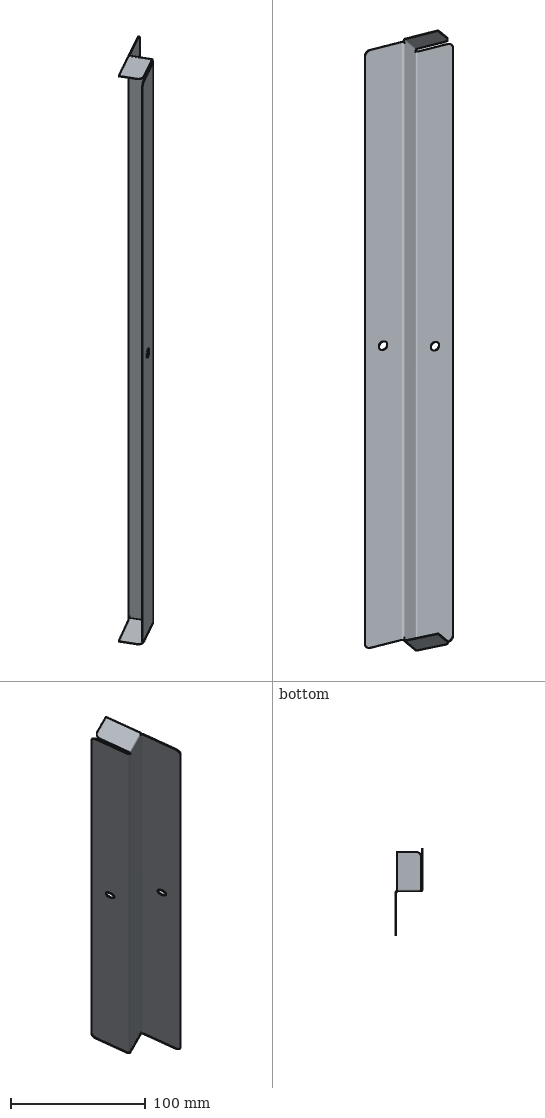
import cadquery as cq
import math

width = 20.0
depth = 64.0
total_height = 504.0
sheet = 0.7
inner_bend = 1.0
outer_bend = inner_bend + sheet

end_setback = 2.5
web_front = -1.0
web_back = web_front + sheet
flange_top = total_height / 2 - end_setback
flange_bottom = -flange_top
flange_height = flange_top - flange_bottom
flange_corner = 4.5

tab_width = 18.0
tab_front = -29.5
tab_corner = 4.0
tab_root_overlap = 1.5
bottom_tab_tilt = math.radians(2.5)

hole_diameter = 7.0
hole_offset = 16.5


def make_profile():
    """Z section with rounded bends, extruded over the flange height."""
    x = width / 2
    y = depth / 2
    inner_shift = inner_bend * math.sqrt(0.5)
    outer_shift = outer_bend * math.sqrt(0.5)
    bend_x = x - outer_bend
    left_bend_y = web_front + outer_bend
    right_bend_y = web_back - outer_bend
    section = (
        cq.Workplane("XY", origin=(0, 0, flange_bottom))
        .moveTo(-x, y)
        .lineTo(-x, left_bend_y)
        .threePointArc((-bend_x - outer_shift, left_bend_y - outer_shift), (-bend_x, web_front))
        .lineTo(bend_x, web_front)
        .threePointArc((bend_x + inner_shift, right_bend_y + inner_shift), (x - sheet, right_bend_y))
        .lineTo(x - sheet, -y)
        .lineTo(x, -y)
        .lineTo(x, right_bend_y)
        .threePointArc((bend_x + outer_shift, right_bend_y + outer_shift), (bend_x, web_back))
        .lineTo(-bend_x, web_back)
        .threePointArc((-bend_x - inner_shift, left_bend_y - inner_shift), (sheet - x, left_bend_y))
        .lineTo(sheet - x, y)
        .close()
    )
    return section.extrude(flange_height)


def round_flange_corners(body):
    """Round the four free corners of the two flanges."""
    return body.edges("|X and (<Y or >Y)").edges("<Z or >Z").fillet(flange_corner)


def make_tab(end_z, outward, tilt):
    """Tab bent forward from the web end; tilt (radians) splays its free edge outward."""
    bend_y = web_front - inner_bend
    length = (bend_y + outer_bend * math.sin(tilt) - tab_front) / math.cos(tilt)
    bend_height = outer_bend * math.cos(tilt) + length * math.sin(tilt)
    bend_z = end_z - outward * bend_height
    bend_sweep = math.pi / 2 - tilt

    def on_bend(radius, angle):
        return (bend_y + radius * math.cos(angle), bend_z + outward * radius * math.sin(angle))

    def tab_tip(radius):
        y, z = on_bend(radius, bend_sweep)
        return (y - length * math.cos(tilt), z + outward * length * math.sin(tilt))

    root_z = bend_z - outward * tab_root_overlap
    tab = (
        cq.Workplane("YZ", origin=(-tab_width / 2, 0, 0))
        .moveTo(web_back, root_z)
        .lineTo(*on_bend(outer_bend, 0))
        .threePointArc(on_bend(outer_bend, bend_sweep / 2), on_bend(outer_bend, bend_sweep))
        .lineTo(*tab_tip(outer_bend))
        .lineTo(*tab_tip(inner_bend))
        .lineTo(*on_bend(inner_bend, bend_sweep))
        .threePointArc(on_bend(inner_bend, bend_sweep / 2), on_bend(inner_bend, 0))
        .lineTo(web_front, root_z)
        .close()
        .extrude(tab_width)
    )
    return tab.faces("<Y").edges(">X").fillet(tab_corner)


def drill_flanges(body):
    """One hole through the middle of each flange."""
    drills = (
        cq.Workplane("YZ", origin=(-width, 0, 0))
        .pushPoints([(-hole_offset, 0), (hole_offset, 0)])
        .circle(hole_diameter / 2)
        .extrude(2 * width)
    )
    return body.cut(drills)


top_tab = make_tab(total_height / 2, 1, 0)
bottom_tab = make_tab(-total_height / 2, -1, bottom_tab_tilt)
flanged_body = drill_flanges(round_flange_corners(make_profile()))
result = flanged_body.union(top_tab).union(bottom_tab)